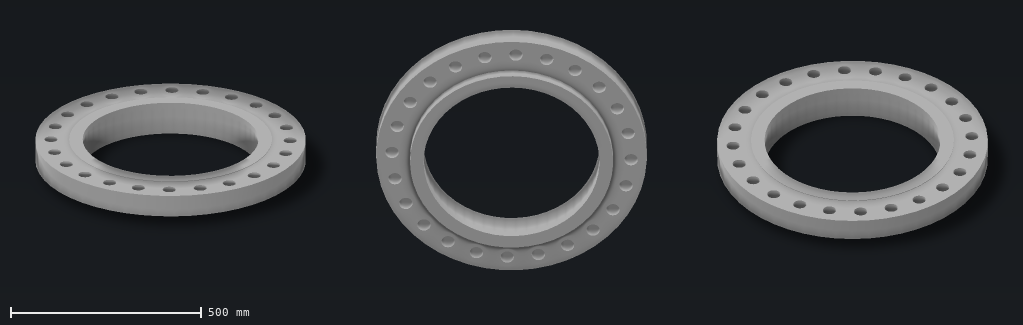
import cadquery as cq

flange_diameter = 711.0
total_height = 89.0
hub_diameter = 533.5
bore_diameter = 462.0

hub_height = 28.5
raised_face_height = 1.5
flange_thickness = total_height - hub_height - raised_face_height

bolt_count = 24
bolt_circle_diameter = 629.0
bolt_hole_diameter = 35.0
bolt_pitch_angle = 360.0 / bolt_count


def make_disc(diameter, bottom, height):
    """Solid disc centred on the Z axis, rising from the given bottom level."""
    return cq.Workplane("XY").workplane(offset=bottom).circle(diameter / 2).extrude(height)


body = make_disc(flange_diameter, hub_height, flange_thickness)
body = body.union(make_disc(hub_diameter, 0, hub_height))

body = body.union(make_disc(hub_diameter, hub_height + flange_thickness, raised_face_height))

body = body.cut(make_disc(bore_diameter, 0, total_height))

bolt_holes = (
    cq.Workplane("XY")
    .polarArray(bolt_circle_diameter / 2, bolt_pitch_angle / 2, 360, bolt_count)
    .circle(bolt_hole_diameter / 2)
    .extrude(total_height)
)

result = body.cut(bolt_holes)